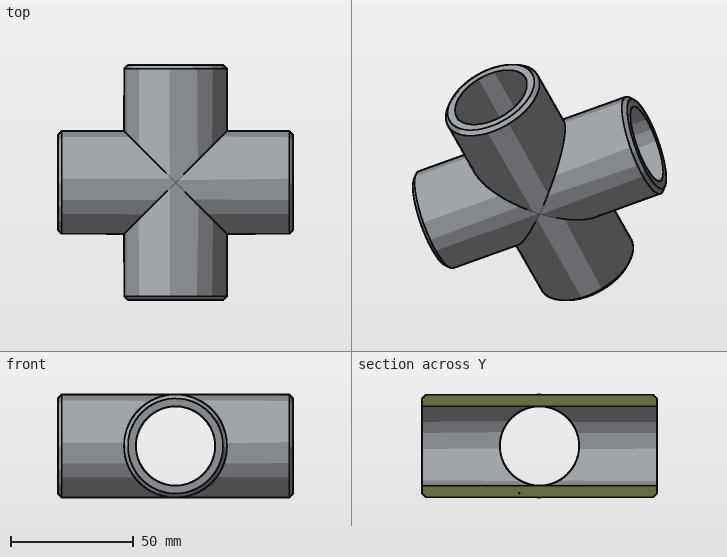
import cadquery as cq

length = 96.0
outer_diameter = 42.0
bore_diameter = 32.3
chamfer_size = 1.6


def rod(plane, diameter):
    """Full-length cylinder centred on the origin, along the plane's normal."""
    return cq.Workplane(plane).circle(diameter / 2).extrude(length / 2, both=True)


def chamfered_rod(plane):
    """Outer body of one tube, with both end rims chamfered."""
    return rod(plane, outer_diameter).edges("%CIRCLE").chamfer(chamfer_size)


body = chamfered_rod("YZ").union(chamfered_rod("XZ"))
bores = rod("YZ", bore_diameter).union(rod("XZ", bore_diameter))

result = body.cut(bores)